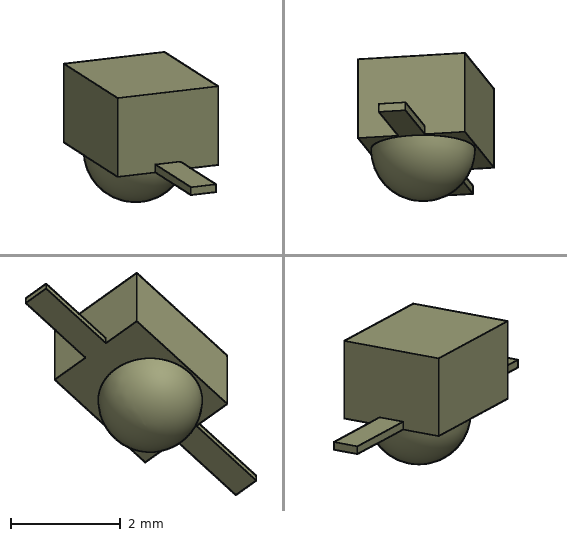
import cadquery as cq

lead_span = 5.8
lead_width = 0.5
lead_thickness = 0.15
body_length = 2.5
body_width = 2.0
body_height = 1.495
dome_radius = 0.95
dome_offset_x = -0.255


def block(length, width, height):
    """Box centred in X and Y, standing on the Z = 0 plane."""
    return cq.Workplane("XY").box(length, width, height, centered=(True, True, False))


body = block(body_length, body_width, body_height)

leads = block(lead_span, lead_width, lead_thickness)

dome = cq.Workplane("XY").sphere(dome_radius).translate((dome_offset_x, 0, 0))

result = body.union(leads).union(dome)